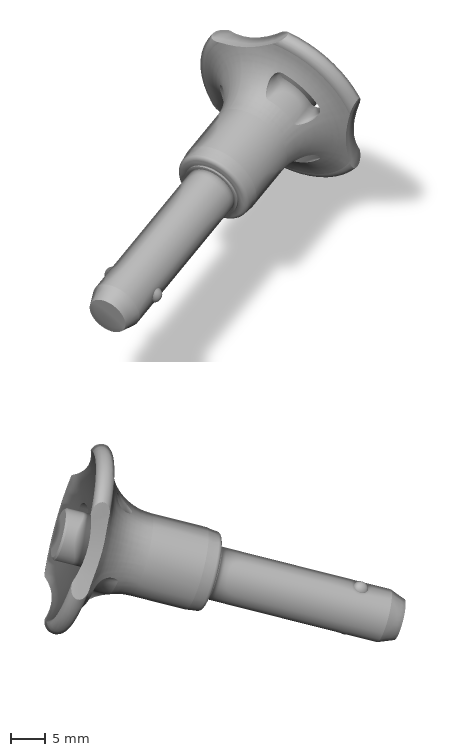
import cadquery as cq
import math

total_length = 52.3

button_height = 1.6
button_radius = 3.9
button_chamfer = 0.3

grip_radius = 14.415
rim_thickness = 2.75
rim_radius = rim_thickness / 2
rim_center_radius = grip_radius - rim_radius
lobe_count = 3
scallop_depth_radius = 11.5
scallop_radius = 32.45
dish_depth = 4.2

sleeve_radius = 6.2
flare_end = 10.95
nose_start = 19.45
nose_round_start = 21.1
nose_radius = 6.0
sleeve_end = 21.7
nose_round = sleeve_end - nose_round_start
collar_radius = 4.5
collar_end = 22.05

pin_radius = 4.0
pin_end = total_length - button_height
tip_length = 2.4
tip_radius = 3.1
ball_depth = 43.55
ball_radius = 1.2
ball_reach = 4.75

opening_pitch_radius = 8.2
slot_width = 2.7
slot_half_angle = 22.0
slot_angles = (60.0, -60.0)
lanyard_hole_radius = 1.23


def polar(radius, degrees):
    """Point at a radius and an angle."""
    angle = math.radians(degrees)
    return radius * math.cos(angle), radius * math.sin(angle)


def make_body():
    """Revolve the button, grip, sleeve and pin as one profile."""
    flare_run = rim_center_radius - sleeve_radius
    flare_rise = flare_end - rim_thickness
    flare_radius = (flare_run**2 + flare_rise**2) / (2 * flare_run)
    half_angle = math.atan2(flare_run, flare_rise)
    flare_mid_r = sleeve_radius + flare_radius * (1 - math.cos(half_angle))
    flare_mid_depth = flare_end - flare_radius * math.sin(half_angle)

    dish_radius = (rim_center_radius**2 + dish_depth**2) / (2 * dish_depth)
    dish_center = dish_depth - dish_radius

    def dish_at(radius):
        return dish_center + math.sqrt(dish_radius**2 - radius**2)

    dish_mid_r = (button_radius + rim_center_radius) / 2
    round_start_r = nose_radius - nose_round
    round_mid_offset = nose_round * math.sqrt(0.5)
    profile = (
        cq.Workplane("XY")
        .moveTo(0, button_height)
        .lineTo(button_radius - button_chamfer, button_height)
        .lineTo(button_radius, button_height - button_chamfer)
        .lineTo(button_radius, -dish_at(button_radius))
        .threePointArc((dish_mid_r, -dish_at(dish_mid_r)), (rim_center_radius, 0))
        .threePointArc((grip_radius, -rim_radius), (rim_center_radius, -rim_thickness))
        .threePointArc((flare_mid_r, -flare_mid_depth), (sleeve_radius, -flare_end))
        .lineTo(sleeve_radius, -nose_start)
        .lineTo(nose_radius, -nose_round_start)
        .threePointArc(
            (round_start_r + round_mid_offset, -nose_round_start - round_mid_offset),
            (round_start_r, -sleeve_end),
        )
        .lineTo(collar_radius, -sleeve_end)
        .lineTo(collar_radius, -collar_end)
        .lineTo(pin_radius, -collar_end)
        .lineTo(pin_radius, tip_length - pin_end)
        .lineTo(tip_radius, -pin_end)
        .lineTo(0, -pin_end)
        .close()
    )
    return profile.revolve(360, (0, 0, 0), (0, 1, 0))


def make_scallops():
    """Cylinders that hollow the grip's outline between its lobes."""
    centers = [
        polar(scallop_depth_radius + scallop_radius, i * 360 / lobe_count)
        for i in range(lobe_count)
    ]
    return cq.Workplane("XZ").pushPoints(centers).circle(scallop_radius).extrude(flare_end)


def make_slot(angle):
    """Curved slot around the axis, centered on an angle and cut along Y."""
    inner_radius = opening_pitch_radius - slot_width / 2
    outer_radius = opening_pitch_radius + slot_width / 2
    start = angle - slot_half_angle
    end = angle + slot_half_angle
    outline = (
        cq.Workplane("XZ")
        .moveTo(*polar(inner_radius, start))
        .threePointArc(polar(inner_radius, angle), polar(inner_radius, end))
        .lineTo(*polar(outer_radius, end))
        .threePointArc(polar(outer_radius, angle), polar(outer_radius, start))
        .close()
        .extrude(flare_end)
    )
    end_centers = [polar(opening_pitch_radius, a) for a in (start, end)]
    ends = cq.Workplane("XZ").pushPoints(end_centers).circle(slot_width / 2).extrude(flare_end)
    return outline.union(ends)


def make_lanyard_hole():
    """Round hole through the lobe on the -X side."""
    return (
        cq.Workplane("XZ")
        .center(-opening_pitch_radius, 0)
        .circle(lanyard_hole_radius)
        .extrude(flare_end)
    )


def make_ball(side):
    """Locking ball that stands out of the pin on the given X side."""
    center_x = side * (ball_reach - ball_radius)
    return cq.Workplane("XY").sphere(ball_radius).translate((center_x, -ball_depth, 0))


result = make_body().cut(make_scallops()).cut(make_lanyard_hole())
for slot_angle in slot_angles:
    result = result.cut(make_slot(slot_angle))
for ball_side in (-1, 1):
    result = result.union(make_ball(ball_side))